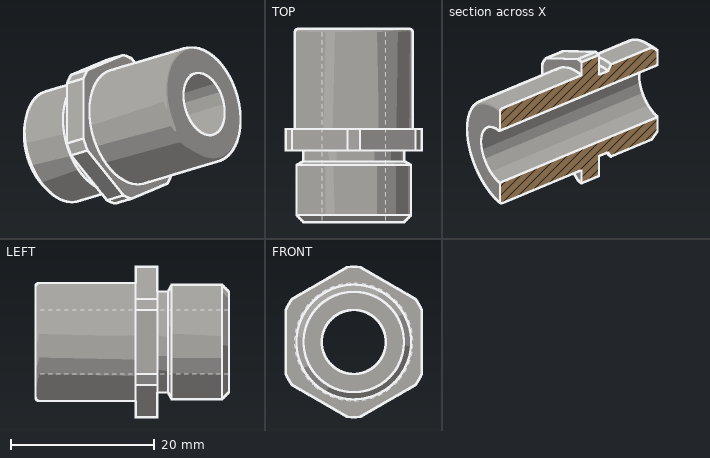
import cadquery as cq

length = 27.0
bore_diameter = 8.9

spigot_diameter = 16.0
spigot_tip_diameter = 14.0
spigot_chamfer_length = 1.0
spigot_end = 8.0

groove_diameter = 14.15
groove_start = 8.5

collar_start = 10.0
collar_thickness = 3.02
collar_across_flats = 19.0
collar_corner_diameter = 21.0

barrel_diameter = 16.5
barrel_edge_radius = 0.5

collar_end = collar_start + collar_thickness


def make_collar():
    """Hexagon with flats facing X, its corners trimmed by a concentric cylinder."""
    hexagon = (
        cq.Workplane("XZ", origin=(0, collar_start, 0))
        .polygon(6, collar_across_flats, circumscribed=True)
        .extrude(-collar_thickness)
    )
    corner_trim = (
        cq.Workplane("XZ", origin=(0, collar_start, 0))
        .circle(collar_corner_diameter / 2)
        .extrude(-collar_thickness)
    )
    return hexagon.intersect(corner_trim)


def make_spigot():
    """Turned front end: tip chamfer, cylinder, sloping shoulder and relief groove."""
    return (
        cq.Workplane("XY")
        .lineTo(spigot_tip_diameter / 2, 0)
        .lineTo(spigot_diameter / 2, spigot_chamfer_length)
        .lineTo(spigot_diameter / 2, spigot_end)
        .lineTo(groove_diameter / 2, groove_start)
        .lineTo(groove_diameter / 2, collar_start)
        .lineTo(0, collar_start)
        .close()
        .revolve(360, (0, 0, 0), (0, 1, 0))
    )


def make_barrel():
    """Plain rear cylinder with a rounded outer rim."""
    return (
        cq.Workplane("XZ", origin=(0, collar_end, 0))
        .circle(barrel_diameter / 2)
        .extrude(-(length - collar_end))
        .faces(">Y")
        .edges()
        .fillet(barrel_edge_radius)
    )


bore = cq.Workplane("XZ").circle(bore_diameter / 2).extrude(-length)

result = make_spigot().union(make_collar()).union(make_barrel()).cut(bore)